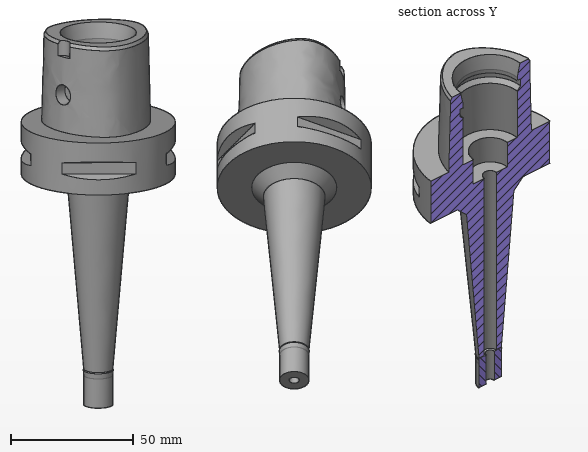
import cadquery as cq
import math

TOTAL_HEIGHT = 158.0
SHANK_HEIGHT = 37.9
FLANGE_THICKNESS = 22.1
NECK_HEIGHT = 4.7
TIP_LENGTH = 15.2
FLANGE_TOP = TOTAL_HEIGHT - SHANK_HEIGHT
FLANGE_BOTTOM = FLANGE_TOP - FLANGE_THICKNESS
NECK_BOTTOM = FLANGE_BOTTOM - NECK_HEIGHT

FLANGE_RADIUS = 63.0 / 2
ARBOR_TOP_RADIUS = 12.6
NECK_TOP_RADIUS = ARBOR_TOP_RADIUS + NECK_HEIGHT
ARBOR_END_RADIUS = 6.0

SHANK_BASE_RADIUS = 22.3
SHANK_TAPER = 1 / 40
LOBE_SIZE = 1.18
LOBES = 3
OUTLINE_POINTS = 72
CHAMFER_HEIGHT = 1.5
CHAMFER_WIDTH = 0.8

MOUTH_RADIUS = 31.1 / 2
SOCKET_RADIUS = 28.3 / 2
MOUTH_DEPTH = 6.6
GROOVE_TOP_DEPTH = 8.5
GROOVE_RADIUS = 16.0
GROOVE_BOTTOM_DEPTH = 12.0
GROOVE_FLANK_DROP = GROOVE_RADIUS - SOCKET_RADIUS
INNER_BORE_RADIUS = 17.9 / 2
INNER_BORE_DEPTH = 12.6
CHANNEL_RADIUS = 3.2

NOTCH_RADIUS = 3.8
NOTCH_DEPTH = 6.3
NOTCH_CENTRE_Y = -21.8
LOCATING_HOLE_RADIUS = 8.4 / 2
LOCATING_HOLE_Z = 135.7
LOCATING_HOLE_FLOOR_Y = -15.2

GRIP_COUNT = 4
GRIP_FIRST_ANGLE = 45.0
GRIP_FLOOR_DISTANCE = 27.6
GRIP_FLOOR_BOTTOM = 105.9
GRIP_FLOOR_TOP = 110.6
GRIP_FLANK_ANGLE = 20.0

TIP_RADIUS = 6.0
TIP_CYLINDER_LENGTH = 12.5
COLLAR_RADIUS = 6.2
COLLAR_CHAMFER_HEIGHT = 0.5
TIP_BORE_RADIUS = 2.0


def revolve_profile(points):
    """Solid of revolution about Z from (radius, z) points."""
    return cq.Workplane("XZ").polyline(points).close().revolve(360, (0, 0, 0), (0, 1, 0))


def lobed_section(mean_radius, z):
    """Closed three-lobed curve of constant width, with one lobe toward +Y."""

    def outline_point(index):
        angle = 2 * math.pi * index / OUTLINE_POINTS
        lobe_angle = LOBES * (angle - math.pi / 2)
        support = mean_radius + LOBE_SIZE * math.cos(lobe_angle)
        slope = -LOBES * LOBE_SIZE * math.sin(lobe_angle)
        x = support * math.cos(angle) - slope * math.sin(angle)
        y = support * math.sin(angle) + slope * math.cos(angle)
        return cq.Vector(x, y, z)

    points = [outline_point(index) for index in range(OUTLINE_POINTS)]
    return cq.Wire.assembleEdges([cq.Edge.makeSpline(points, periodic=True)])


def make_shank():
    chamfer_bottom = TOTAL_HEIGHT - CHAMFER_HEIGHT
    edge_radius = SHANK_BASE_RADIUS - SHANK_TAPER * (SHANK_HEIGHT - CHAMFER_HEIGHT)
    base = lobed_section(SHANK_BASE_RADIUS, FLANGE_TOP)
    edge = lobed_section(edge_radius, chamfer_bottom)
    top = lobed_section(edge_radius - CHAMFER_WIDTH, TOTAL_HEIGHT)
    taper = cq.Solid.makeLoft([base, edge], True)
    chamfer = cq.Solid.makeLoft([edge, top], True)
    return cq.Workplane(obj=taper).union(cq.Workplane(obj=chamfer))


def make_flange_and_arbor():
    return revolve_profile([
        (0, TIP_LENGTH),
        (ARBOR_END_RADIUS, TIP_LENGTH),
        (ARBOR_TOP_RADIUS, NECK_BOTTOM),
        (NECK_TOP_RADIUS, FLANGE_BOTTOM),
        (FLANGE_RADIUS, FLANGE_BOTTOM),
        (FLANGE_RADIUS, FLANGE_TOP),
        (0, FLANGE_TOP),
    ])


def socket_cutter():
    """Conical mouth, undercut groove, stepped bore and coolant channel."""
    inner_floor = FLANGE_TOP - INNER_BORE_DEPTH
    groove_top = TOTAL_HEIGHT - GROOVE_TOP_DEPTH
    groove_bottom = TOTAL_HEIGHT - GROOVE_BOTTOM_DEPTH
    return revolve_profile([
        (0, TIP_LENGTH),
        (CHANNEL_RADIUS, TIP_LENGTH),
        (CHANNEL_RADIUS, inner_floor),
        (INNER_BORE_RADIUS, inner_floor),
        (INNER_BORE_RADIUS, FLANGE_TOP),
        (SOCKET_RADIUS, FLANGE_TOP),
        (SOCKET_RADIUS, groove_bottom - GROOVE_FLANK_DROP),
        (GROOVE_RADIUS, groove_bottom),
        (GROOVE_RADIUS, groove_top),
        (SOCKET_RADIUS, groove_top),
        (SOCKET_RADIUS, TOTAL_HEIGHT - MOUTH_DEPTH),
        (MOUTH_RADIUS, TOTAL_HEIGHT),
        (0, TOTAL_HEIGHT),
    ])


def notch_cutter():
    return (
        cq.Workplane("XY", origin=(0, NOTCH_CENTRE_Y, TOTAL_HEIGHT - NOTCH_DEPTH))
        .circle(NOTCH_RADIUS)
        .extrude(NOTCH_DEPTH)
    )


def locating_hole_cutter():
    return (
        cq.Workplane("XZ", origin=(0, LOCATING_HOLE_FLOOR_Y, LOCATING_HOLE_Z))
        .circle(LOCATING_HOLE_RADIUS)
        .extrude(FLANGE_RADIUS + LOCATING_HOLE_FLOOR_Y)
    )


def grip_cutter(angle):
    """Straight groove with a flat floor and flared flanks, facing the given angle."""
    flare = (FLANGE_RADIUS - GRIP_FLOOR_DISTANCE) * math.tan(math.radians(GRIP_FLANK_ANGLE))
    return (
        cq.Workplane("XZ")
        .polyline([
            (GRIP_FLOOR_DISTANCE, GRIP_FLOOR_BOTTOM),
            (FLANGE_RADIUS, GRIP_FLOOR_BOTTOM - flare),
            (FLANGE_RADIUS, GRIP_FLOOR_TOP + flare),
            (GRIP_FLOOR_DISTANCE, GRIP_FLOOR_TOP),
        ])
        .close()
        .extrude(FLANGE_RADIUS, both=True)
        .rotate((0, 0, 0), (0, 0, 1), angle)
    )


def make_holder():
    holder = make_flange_and_arbor().union(make_shank())
    holder = holder.cut(socket_cutter())
    holder = holder.cut(notch_cutter())
    holder = holder.cut(locating_hole_cutter())
    for index in range(GRIP_COUNT):
        angle = GRIP_FIRST_ANGLE + index * 360 / GRIP_COUNT
        holder = holder.cut(grip_cutter(angle))
    return holder


def make_tip():
    """Bored cylinder with a slightly flared collar against the end of the arbor."""
    return revolve_profile([
        (TIP_BORE_RADIUS, 0),
        (TIP_RADIUS, 0),
        (TIP_RADIUS, TIP_CYLINDER_LENGTH),
        (COLLAR_RADIUS, TIP_LENGTH - COLLAR_CHAMFER_HEIGHT),
        (ARBOR_END_RADIUS, TIP_LENGTH),
        (TIP_BORE_RADIUS, TIP_LENGTH),
    ])


holder = make_holder()
tip = make_tip()
result = cq.Compound.makeCompound([*holder.solids().vals(), tip.val()])